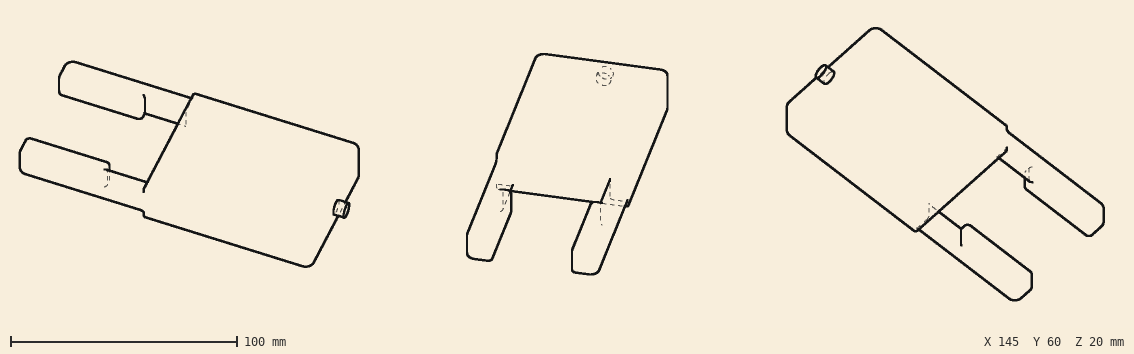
import cadquery as cq

overall_length = 145.0
width = 60.0
body_height = 20.0
pin_length = 5.0
pin_diameter = 6.8
body_end = overall_length - pin_length

arm_length = 60.0
arm_height = 12.0
pad_length = 40.0
pad_width = 12.0
neck_width = 8.0

outer_corner_radius = 4.0
pad_corner_radius = 2.0
edge_radius = 1.25

half_width = width / 2
pick = 0.01


def edges_in_box(x_range, y_range, z_range):
    """Select edges whose centres lie within the given ranges."""
    low, high = zip(x_range, y_range, z_range)
    return cq.selectors.BoxSelector(low, high)


def around(value):
    return (value - pick, value + pick)


def make_body():
    """Rectangular housing with its two far upright corners rounded."""
    body = cq.Workplane("XY").box(
        body_end - arm_length, width, body_height, centered=(False, True, True)
    )
    return body.edges("|Z and >X").fillet(outer_corner_radius).translate((arm_length, 0, 0))


def make_arm():
    """Arm on the -Y side, with a wide pad at the tip and a narrow neck."""
    outer_side = -half_width
    pad_side = outer_side + pad_width
    arm = (
        cq.Workplane("XY")
        .workplane(offset=-arm_height / 2)
        .moveTo(0, outer_side)
        .lineTo(arm_length, outer_side)
        .lineTo(arm_length, outer_side + neck_width)
        .lineTo(pad_length, outer_side + neck_width)
        .lineTo(pad_length, pad_side)
        .lineTo(0, pad_side)
        .close()
        .extrude(arm_height)
    )
    any_z = (-arm_height, arm_height)
    arm = arm.edges(edges_in_box(around(0), around(outer_side), any_z)).fillet(outer_corner_radius)
    for x in (0, pad_length):
        arm = arm.edges(edges_in_box(around(x), around(pad_side), any_z)).fillet(pad_corner_radius)
    return arm


def round_edges(part):
    """Round the rims, the arm roots and the upright front corners of the body."""
    any_x = (-pick, overall_length)
    any_y = (-width, width)
    root_x = around(arm_length)
    rims = part.edges(edges_in_box(any_x, any_y, around(body_height / 2)))
    for z in (-body_height / 2, -arm_height / 2, arm_height / 2):
        rims = rims.add(part.edges(edges_in_box(any_x, any_y, around(z))))
    roots_and_corners = part.edges("|Z").edges(
        edges_in_box(root_x, any_y, (-body_height, body_height))
    )
    return rims.add(roots_and_corners).fillet(edge_radius)


def make_pin():
    """Round pin centred on the far end of the body."""
    return (
        cq.Workplane("YZ")
        .workplane(offset=body_end)
        .circle(pin_diameter / 2)
        .extrude(pin_length)
    )


arm = make_arm()
fork = make_body().union(arm).union(arm.mirror("XZ"))
result = round_edges(fork).union(make_pin())